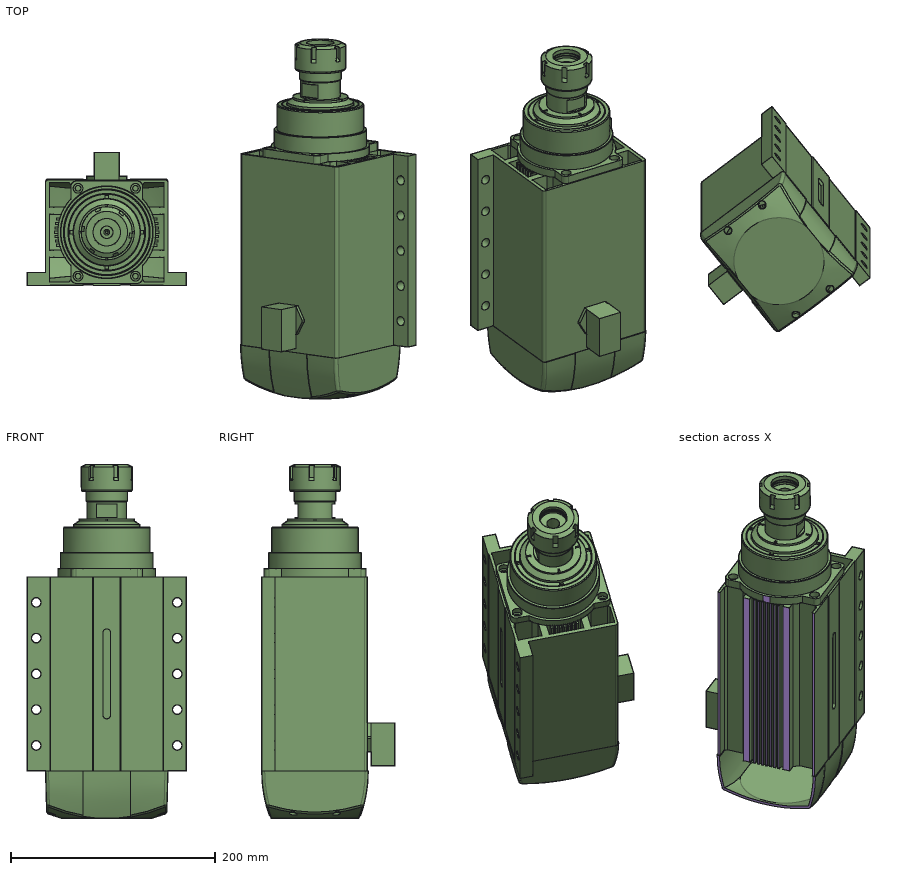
import cadquery as cq
import math

overall_height = 346.5
housing_length = 190.0
cap_height = 46.5
spindle_top = overall_height - cap_height

housing_width = 120.0
housing_front = -52.25
housing_back = 51.25
housing_corner_radius = 3.0
foot_span = 156.0
foot_thickness = 13.0
foot_recess_depth = 0.8
foot_recess_inner_x = 13.6
foot_recess_outer_x = 55.3

foot_hole_diameter = 9.0
foot_hole_x = 69.0
foot_hole_pitch = 35.0
foot_holes_per_side = 5
slot_length = 88.0
slot_width = 7.5
slot_depth = 3.0

channel_outer_x = 56.0
channel_inner_x = 35.0
corner_channel_y = (24.6, 48.5)
corner_channel_chamfer = 2.0
side_channel_height = 34.8
core_radius = 46.0
fin_tip_radius = 51.0
fin_thickness = 2.0
fin_pitch = 4.25
fin_count = 7

cap_half_depth = 52.25
cap_wall = 3.0
cap_side_draft = 1.2
cap_face_radius = 130.0
cap_dome_radius = 165.0
cap_dome_drop = 52.5
cap_panel_width = 46.5
cap_panel_recess = 0.8
cap_corner_radius = 3.0
cap_edge_chamfer = 1.5
cap_screw_x = 54.0
cap_screw_y = 21.2
cap_screw_diameter = 7.5
cap_screw_depth = 7.5

connector_back = 78.24
connector_width = 24.5
connector_bottom = 5.0
connector_top = 47.0
plate_thickness = 3.6
plate_width = 39.2
plate_flat_height = 2.0
plate_height = 28.2

flange_thickness = 8.0
flange_radius = 48.0
flange_ear_width = 70.0
flange_ear_depth = 100.0
flange_ear_radius = 5.0
screw_x = 28.1
screw_y = 43.0
screw_hole_diameter = 5.5
screw_head_diameter = 9.5
screw_head_depth = 6.0
lower_step_radius = 45.4
lower_step_height = 16.0
upper_step_radius = 42.5
upper_step_height = 25.0
lower_step_chamfer = 0.5
upper_step_chamfer = 1.0

cover_outer_radius = 37.2
cover_inner_radius = 33.0
cover_thickness = 5.0
cover_gap = 0.8
cover_notch_width = 3.5
cover_notch_outer_radius = 36.2
cover_notch_depth = 2.0

ring_base_radius = 32.5
ring_top_radius = 27.0
ring_top_below_spindle_top = 53.3
ring_cone_height = 3.5
ring_rim_height = 2.0
ring_notch_width = 1.6
ring_notch_inner_radius = 22.5

neck_radius = 19.5
collar_radius = 20.5
collar_length = 10.2
collar_chamfer = 1.0
flats_across = 33.4
flats_bottom = 52.0
flats_top = 38.7
centre_hole_diameter = 2.4
centre_hole_depth = 10.0
centre_countersink_diameter = 5.6
centre_countersink_angle = 60.0

nut_radius = 25.0
nut_length = 26.4
nut_bore_radius = 13.4
nut_top_chamfer_height = 2.4
nut_top_chamfer_width = 4.6
nut_bottom_chamfer_height = 1.6
nut_bottom_chamfer_width = 0.8
nut_groove_radius = 14.4
nut_groove_top = 4.5
nut_groove_width = 2.5
nut_slot_count = 6
nut_slot_angle = 52.0
nut_slot_width = 5.0
nut_slot_floor_radius = 22.3
nut_slot_inner_depth = 12.7
nut_slot_outer_depth = 15.8

collet_recess = 9.3
collet_bore_radius = 6.1

flange_top = housing_length + flange_thickness
lower_step_top = flange_top + lower_step_height
nose_top = lower_step_top + upper_step_height
nut_bottom = spindle_top - nut_length
collar_bottom = nut_bottom - collar_length
cover_floor = nose_top - cover_thickness
ring_top = spindle_top - ring_top_below_spindle_top


def cylinder(radius, bottom, height):
    return cq.Workplane("XY", origin=(0, 0, bottom)).circle(radius).extrude(height)


def block(x_range, y_range, z_range):
    """Box between the given pairs of limits."""
    size = [limits[1] - limits[0] for limits in (x_range, y_range, z_range)]
    corner = (x_range[0], y_range[0], z_range[0])
    return cq.Workplane("XY").box(*size, centered=False).translate(corner)


def mirrored(shape):
    """The shape together with its mirror image across the YZ plane."""
    return shape.union(shape.mirror("YZ"))


def cooling_channels():
    """Channels on the -X side: two corner channels and one finned side channel."""
    z_range = (0, housing_length)
    corner = block((-channel_outer_x, -channel_inner_x), corner_channel_y, z_range)
    corner = corner.edges("|Z and >X and >Y").chamfer(corner_channel_chamfer)
    side_limits = (-side_channel_height / 2, side_channel_height / 2)
    side = block((-channel_outer_x, -channel_inner_x), side_limits, z_range)
    channels = corner.union(corner.mirror("XZ")).union(side)
    channels = channels.cut(cylinder(core_radius, 0, housing_length))
    for index in range(fin_count):
        y = (index - (fin_count - 1) / 2) * fin_pitch
        tip_x = -math.sqrt(fin_tip_radius**2 - y**2)
        fin = block((tip_x, -channel_inner_x), (y - fin_thickness / 2, y + fin_thickness / 2), z_range)
        channels = channels.cut(fin)
    return channels


def make_housing():
    half_width = housing_width / 2
    z_range = (0, housing_length)
    body = block((-half_width, half_width), (housing_front, housing_back), z_range)
    body = body.edges("|Z and >Y").fillet(housing_corner_radius)
    foot_limits = (housing_front, housing_front + foot_thickness)
    body = body.union(block((-foot_span / 2, foot_span / 2), foot_limits, z_range))

    inner_x, outer_x = foot_recess_inner_x, foot_recess_outer_x
    floor_y = housing_front + foot_recess_depth
    recess_outline = [
        (inner_x - foot_recess_depth / 2, housing_front),
        (outer_x + foot_recess_depth / 2, housing_front),
        (outer_x - foot_recess_depth / 2, floor_y),
        (inner_x + foot_recess_depth / 2, floor_y),
    ]
    recess = cq.Workplane("XY").polyline(recess_outline).close().extrude(housing_length)
    body = body.cut(mirrored(recess))
    body = body.cut(mirrored(cooling_channels()))

    middle = housing_length / 2
    front_plane = cq.Workplane("XZ", origin=(0, housing_front, middle))
    holes = (
        front_plane.rarray(2 * foot_hole_x, foot_hole_pitch, 2, foot_holes_per_side)
        .circle(foot_hole_diameter / 2)
        .extrude(-foot_thickness)
    )
    slot = front_plane.slot2D(slot_length, slot_width, 90).extrude(-slot_depth)
    return body.cut(holes).cut(slot)


def cap_face_prism(inset, height):
    """Bar along X between the bulging front and back faces of the cap."""
    half_top = cap_half_depth - inset

    def half_at(depth):
        return half_top - cap_face_radius + math.sqrt(cap_face_radius**2 - depth**2)

    half_middle = half_at(height / 2)
    half_bottom = half_at(height)
    return (
        cq.Workplane("YZ")
        .moveTo(-half_top, 0)
        .threePointArc((-half_middle, -height / 2), (-half_bottom, -height))
        .lineTo(half_bottom, -height)
        .threePointArc((half_middle, -height / 2), (half_top, 0))
        .close()
        .extrude(housing_width / 2, both=True)
    )


def cap_form(inset):
    """Drafted and domed cap shape, shrunk inwards by the inset."""
    height = cap_height - inset
    half_top = housing_width / 2 - inset
    half_bottom = half_top - cap_side_draft
    sides = (
        cq.Workplane("XZ")
        .polyline([(-half_top, 0), (half_top, 0), (half_bottom, -height), (-half_bottom, -height)])
        .close()
        .extrude(cap_half_depth, both=True)
    )
    dome_centre = cap_dome_radius - cap_dome_drop
    dome = cq.Workplane("XY").sphere(cap_dome_radius - inset)
    dome = dome.rotate((0, 0, 0), (0, 1, 0), -90).translate((0, 0, dome_centre))
    return cap_face_prism(inset, height).intersect(sides), dome


def make_rear_cap():
    outer, outer_dome = cap_form(0)
    inner, inner_dome = cap_form(cap_wall)
    outer = outer.edges("(not #Z) and (not |X) and (not |Y)").fillet(cap_corner_radius)
    outer = outer.intersect(outer_dome)
    outer = outer.faces("%SPHERE").edges("not <Z").chamfer(cap_edge_chamfer)
    half_panel = cap_panel_width / 2
    panel = block(
        (-half_panel, half_panel),
        (-cap_half_depth, cap_half_depth),
        (-cap_height, 0),
    ).cut(cap_face_prism(cap_panel_recess, cap_height))
    screw_holes = (
        cq.Workplane("XY", origin=(0, 0, -cap_height))
        .rarray(2 * cap_screw_x, 2 * cap_screw_y, 2, 2)
        .circle(cap_screw_diameter / 2)
        .extrude(cap_screw_depth)
    )
    return outer.cut(panel).cut(inner.intersect(inner_dome)).cut(screw_holes)


def make_connector():
    """Plug box on its elongated hexagonal base plate."""
    half_width = plate_width / 2
    half_height = plate_height / 2
    half_flat = plate_flat_height / 2
    top_half_width = half_width - (half_height - half_flat) * math.tan(math.radians(30))
    outline = [
        (-half_width, half_flat),
        (-top_half_width, half_height),
        (top_half_width, half_height),
        (half_width, half_flat),
        (half_width, -half_flat),
        (top_half_width, -half_height),
        (-top_half_width, -half_height),
        (-half_width, -half_flat),
    ]
    origin = (0, housing_back, connector_top - half_height)
    plate = cq.Workplane("XZ", origin=origin).polyline(outline).close().extrude(-plate_thickness)
    box = block(
        (-connector_width / 2, connector_width / 2),
        (housing_back + plate_thickness, connector_back),
        (connector_bottom, connector_top),
    )
    return plate.union(box).clean()


def make_nose():
    flange_plane = cq.Workplane("XY", origin=(0, 0, housing_length))
    ears = flange_plane.rect(flange_ear_width, flange_ear_depth).extrude(flange_thickness)
    ears = ears.edges("|Z").fillet(flange_ear_radius)
    nose = ears.union(cylinder(flange_radius, housing_length, flange_thickness))
    lower = cylinder(lower_step_radius, flange_top, lower_step_height)
    nose = nose.union(lower.faces(">Z").chamfer(lower_step_chamfer))
    upper = cylinder(upper_step_radius, lower_step_top, upper_step_height)
    nose = nose.union(upper.faces(">Z").chamfer(upper_step_chamfer))
    screw_points = [(x, y) for x in (-screw_x, screw_x) for y in (-screw_y, screw_y)]
    holes = flange_plane.pushPoints(screw_points).circle(screw_hole_diameter / 2).extrude(flange_thickness)
    heads = (
        cq.Workplane("XY", origin=(0, 0, flange_top))
        .pushPoints(screw_points)
        .circle(screw_head_diameter / 2)
        .extrude(-screw_head_depth)
    )
    bore = cylinder(cover_outer_radius + cover_gap, cover_floor, cover_thickness)
    return nose.cut(holes).cut(heads).cut(bore)


def make_bearing_cover():
    cover = cylinder(cover_outer_radius, cover_floor, cover_thickness)
    cover = cover.cut(cylinder(cover_inner_radius, cover_floor, cover_thickness))
    half_notch = cover_notch_width / 2
    notch = block(
        (cover_inner_radius - cover_notch_depth, cover_notch_outer_radius),
        (-half_notch, half_notch),
        (nose_top - cover_notch_depth, nose_top),
    )
    for quarter in range(4):
        cover = cover.cut(notch.rotate((0, 0, 0), (0, 0, 1), 90 * quarter))
    return cover


def make_splash_ring():
    rim_bottom = ring_top - ring_rim_height
    outline = [
        (neck_radius, cover_floor),
        (ring_base_radius, cover_floor),
        (ring_base_radius, rim_bottom - ring_cone_height),
        (ring_top_radius, rim_bottom),
        (ring_top_radius, ring_top),
        (neck_radius, ring_top),
    ]
    ring = cq.Workplane("XZ").polyline(outline).close().revolve(360, (0, 0), (0, 1))
    half_notch = ring_notch_width / 2
    notch = block(
        (ring_notch_inner_radius, ring_top_radius),
        (-half_notch, half_notch),
        (rim_bottom, ring_top),
    )
    for quarter in range(4):
        ring = ring.cut(notch.rotate((0, 0, 0), (0, 0, 1), 90 * quarter))
    return ring


def make_shaft():
    outline = [
        (0, cover_floor),
        (neck_radius, cover_floor),
        (neck_radius, collar_bottom),
        (collar_radius, collar_bottom + collar_chamfer),
        (collar_radius, nut_bottom),
        (0, nut_bottom),
    ]
    shaft = cq.Workplane("XZ").polyline(outline).close().revolve(360, (0, 0), (0, 1))
    flat = block(
        (-neck_radius, neck_radius),
        (flats_across / 2, neck_radius + 1),
        (spindle_top - flats_bottom, spindle_top - flats_top),
    )
    shaft = shaft.cut(flat).cut(flat.mirror("XZ"))
    return (
        shaft.faces(">Z")
        .workplane(origin=(0, 0, nut_bottom))
        .cskHole(
            centre_hole_diameter,
            centre_countersink_diameter,
            centre_countersink_angle,
            centre_hole_depth,
        )
    )


def make_nut():
    outline = [
        (nut_bore_radius, 0),
        (nut_radius - nut_top_chamfer_width, 0),
        (nut_radius, -nut_top_chamfer_height),
        (nut_radius, nut_bottom_chamfer_height - nut_length),
        (nut_radius - nut_bottom_chamfer_width, -nut_length),
        (nut_bore_radius, -nut_length),
        (nut_bore_radius, -nut_groove_top - nut_groove_width),
        (nut_groove_radius, -nut_groove_top - nut_groove_width),
        (nut_groove_radius, -nut_groove_top),
        (nut_bore_radius, -nut_groove_top),
    ]
    nut = cq.Workplane("XZ").polyline(outline).close().revolve(360, (0, 0), (0, 1))
    slot = (
        cq.Workplane("XZ")
        .polyline(
            [
                (nut_slot_floor_radius, 0),
                (nut_radius, 0),
                (nut_radius, -nut_slot_outer_depth),
                (nut_slot_floor_radius, -nut_slot_inner_depth),
            ]
        )
        .close()
        .extrude(nut_slot_width / 2, both=True)
    )
    for index in range(nut_slot_count):
        angle = nut_slot_angle + index * 360 / nut_slot_count
        nut = nut.cut(slot.rotate((0, 0, 0), (0, 0, 1), angle))
    return nut.translate((0, 0, spindle_top))


def make_collet():
    length = nut_length - collet_recess
    collet = cylinder(nut_bore_radius, nut_bottom, length)
    return collet.cut(cylinder(collet_bore_radius, nut_bottom, length))


housing = make_housing()
rear_cap = make_rear_cap()
connector = make_connector()
nose = make_nose()
bearing_cover = make_bearing_cover()
splash_ring = make_splash_ring()
shaft = make_shaft()
nut = make_nut()
collet = make_collet()

bodies = [housing, rear_cap, connector, nose, bearing_cover, splash_ring, shaft, nut, collet]
result = cq.Compound.makeCompound([body.val() for body in bodies])